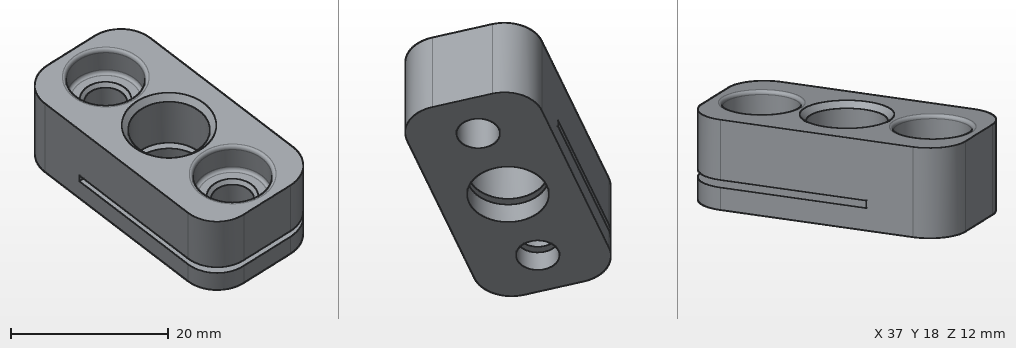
import cadquery as cq

length = 37.0
width = 18.0
height = 12.0
corner_radius = 5.0

bore_diameter = 10.35
bore_rim_diameter = 12.0

screw_offset = 12.0
screw_diameter = 5.5
screw_chamfer = 0.5
counterbore_diameter = 10.0
counterbore_depth = 4.0
counterbore_rim_diameter = 11.0
counterbore_round = (counterbore_rim_diameter - counterbore_diameter) / 2

slot_bottom = 3.0
slot_height = 1.0
slot_start = -7.0


def make_block():
    """Rounded rectangular block standing on Z = 0."""
    block = cq.Workplane("XY").box(length, width, height, centered=(True, True, False))
    return block.edges("|Z").fillet(corner_radius)


def make_bore_cutter():
    """Through bore with a 45 degree chamfer at its top rim."""
    bore_radius = bore_diameter / 2
    rim_radius = bore_rim_diameter / 2
    chamfer = rim_radius - bore_radius
    profile = (
        cq.Workplane("XZ")
        .lineTo(bore_radius, 0)
        .lineTo(bore_radius, height - chamfer)
        .lineTo(rim_radius, height)
        .lineTo(0, height)
        .close()
    )
    return profile.revolve(360, (0, 0, 0), (0, 1, 0))


def make_screw_cutter():
    """Chamfered screw hole below a counterbore with rounded rim and floor corner."""
    hole_radius = screw_diameter / 2
    wall_radius = counterbore_diameter / 2
    floor = height - counterbore_depth
    profile = (
        cq.Workplane("XZ")
        .lineTo(hole_radius, 0)
        .lineTo(hole_radius, floor - screw_chamfer)
        .lineTo(hole_radius + screw_chamfer, floor)
        .lineTo(wall_radius - counterbore_round, floor)
        .radiusArc((wall_radius, floor + counterbore_round), -counterbore_round)
        .lineTo(wall_radius, height - counterbore_round)
        .radiusArc((wall_radius + counterbore_round, height), counterbore_round)
        .lineTo(0, height)
        .close()
    )
    return profile.revolve(360, (0, 0, 0), (0, 1, 0))


def make_slot_cutter():
    """Thin horizontal slot from its closed end to the +X face."""
    slot_length = length / 2 - slot_start
    slot = cq.Workplane("XY").box(slot_length, width, slot_height, centered=(False, True, False))
    return slot.translate((slot_start, 0, slot_bottom))


result = make_block().cut(make_bore_cutter()).cut(make_slot_cutter())
for side in (-1, 1):
    result = result.cut(make_screw_cutter().translate((side * screw_offset, 0, 0)))